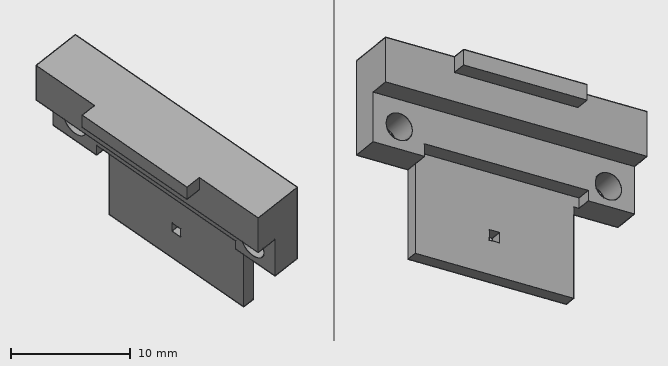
import cadquery as cq

length = 25.4
depth = 6.3
height = 17.5

bar_depth = 4.8
bar_height = 4.27
lip_left = 6.68
lip_length = 12.0
lip_height = 1.5

flange_depth = 2.75
flange_bottom_left = 9.0
flange_bottom_right = 8.8

plate_left = 5.0
plate_length = 15.4
plate_thickness = 1.22
pocket_top = 7.8
pocket_length = 15.9

hole_diameter = 2.55
hole_drop = 6.85
hole_inset = 2.55

window_size = 1.0
window_left = 12.2
window_top = 13.23


def block(left, right, top, bottom, thickness):
    """Box between two X places and two distances below the top, forward from the back face."""
    return cq.Workplane("XY").box(
        right - left, thickness, bottom - top, centered=False
    ).translate((left, -thickness, -bottom))


plate_right = plate_left + plate_length
pocket_right = plate_left + pocket_length

bar = block(0, length, 0, bar_height, bar_depth)
lip = block(lip_left, lip_left + lip_length, 0, lip_height, depth)
flange_left = block(0, plate_left, 0, flange_bottom_left, flange_depth)
flange_right = block(plate_left, length, 0, flange_bottom_right, flange_depth)
body = bar.union(lip).union(flange_left).union(flange_right)

pocket = block(plate_left, pocket_right, pocket_top, height, flange_depth)
pocket = pocket.translate((0, -plate_thickness, 0))
plate = block(plate_left, plate_right, pocket_top, height, plate_thickness)
body = body.cut(pocket).union(plate)

for hole_x in (hole_inset, length - hole_inset):
    hole = (
        cq.Workplane("XZ")
        .center(hole_x, -hole_drop)
        .circle(hole_diameter / 2)
        .extrude(flange_depth)
    )
    body = body.cut(hole)

window = block(
    window_left, window_left + window_size,
    window_top, window_top + window_size, plate_thickness,
)
result = body.cut(window)